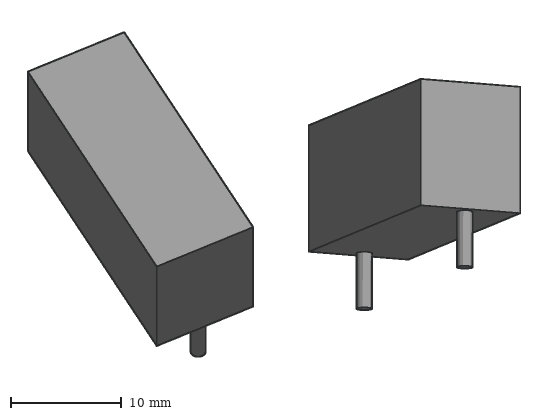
import cadquery as cq

housing_length = 25.2
housing_width = 9.8
housing_height = 11.6

overall_height = 16.68
pin_diameter = 1.4
pin_spacing = 22.5
pin_length = overall_height - housing_height


def make_housing():
    """Plain block, centred in X and Y, with its underside at Z = 0."""
    return cq.Workplane("XY").box(
        housing_length, housing_width, housing_height, centered=(True, True, False)
    )


def make_pin(x):
    """Round pin that hangs from the housing underside at the given X."""
    return cq.Workplane("XY").center(x, 0).circle(pin_diameter / 2).extrude(-pin_length)


housing = make_housing()
pins = [make_pin(side * pin_spacing / 2) for side in (-1, 1)]

result = cq.Compound.makeCompound([housing.val(), *[pin.val() for pin in pins]])